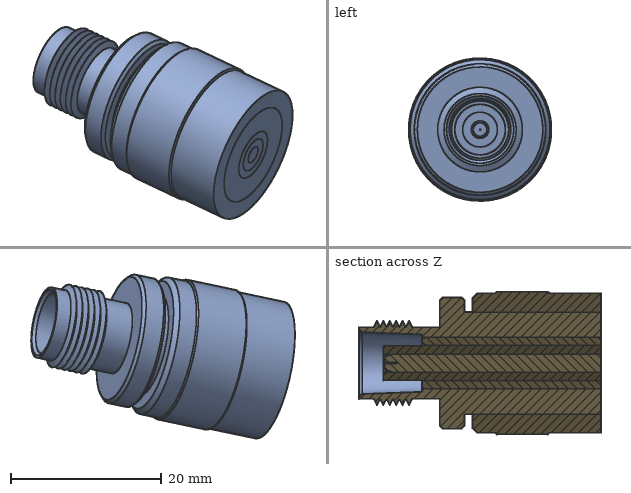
import cadquery as cq

LENGTH = 32.25

TUBE_R = 4.8
THREAD_START = 1.97
THREAD_LENGTH = 5.13
THREAD_RIDGES = 6
THREAD_CREST_R = 5.65
FLANGE_START = 10.75
FLANGE_END = 14.1
FLANGE_R = 8.77
FLANGE_CHAMFER = 0.42
NECK_R = 6.85

MOUTH_R = 4.5
MOUTH_DEPTH = 0.42
BORE_FRONT_R = 4.1
BORE_FLOOR_R = 3.8
BORE_DEPTH = 8.4

BUSHING_R = 3.4
BUSHING_CLEARANCE = 0.03
BUSHING_CLEARANCE_DEPTH = 0.32

INSULATOR_R = 2.32
INSULATOR_START = 3.23

CONTACT_R = 1.15
CONTACT_TIP_R = 0.9
CONTACT_TIP_RECESS = 0.15
CONTACT_TAPER_LENGTH = 0.97
PINHOLE_R = 0.05
PINHOLE_DEPTH = 1.6

NUT_START = 15.13
NUT_R = 9.32
NUT_CHAMFER = 0.65
BAND_START = 18.15
BAND_END = 25.4
BAND_R = 19.05 / 2
BAND_CHAMFER = BAND_R - NUT_R


def turned(outline):
    """Solid of revolution about X from a closed outline of (x, radius) points."""
    return cq.Workplane("XY").polyline(outline).close().revolve(360, (0, 0, 0), (1, 0, 0))


def thread_outline():
    """Sharp ridges standing on the tube, root to root."""
    pitch = THREAD_LENGTH / THREAD_RIDGES
    points = [(THREAD_START, TUBE_R)]
    for ridge in range(THREAD_RIDGES):
        root = THREAD_START + ridge * pitch
        points.append((root + pitch / 2, THREAD_CREST_R))
        points.append((root + pitch, TUBE_R))
    return points


def make_shell():
    flange_edge_r = FLANGE_R - FLANGE_CHAMFER
    front = [(0, MOUTH_R), (0, TUBE_R)]
    flange = [
        (FLANGE_START, TUBE_R),
        (FLANGE_START, flange_edge_r),
        (FLANGE_START + FLANGE_CHAMFER, FLANGE_R),
        (FLANGE_END - FLANGE_CHAMFER, FLANGE_R),
        (FLANGE_END, flange_edge_r),
    ]
    neck = [(FLANGE_END, NECK_R), (LENGTH, NECK_R)]
    bore = [
        (LENGTH, BUSHING_R),
        (BORE_DEPTH, BUSHING_R),
        (BORE_DEPTH, BORE_FLOOR_R),
        (MOUTH_DEPTH, BORE_FRONT_R),
    ]
    return turned(front + thread_outline() + flange + neck + bore)


def make_bushing():
    front_r = BUSHING_R - BUSHING_CLEARANCE
    shoulder = BORE_DEPTH + BUSHING_CLEARANCE_DEPTH
    return turned(
        [
            (BORE_DEPTH, INSULATOR_R),
            (BORE_DEPTH, front_r),
            (shoulder, front_r),
            (shoulder, BUSHING_R),
            (LENGTH, BUSHING_R),
            (LENGTH, INSULATOR_R),
        ]
    )


def make_insulator():
    return turned(
        [
            (INSULATOR_START, CONTACT_R),
            (INSULATOR_START, INSULATOR_R),
            (LENGTH, INSULATOR_R),
            (LENGTH, CONTACT_R),
        ]
    )


def make_contact():
    tip = INSULATOR_START + CONTACT_TIP_RECESS
    pinhole_end = tip + PINHOLE_DEPTH
    return turned(
        [
            (tip, PINHOLE_R),
            (tip, CONTACT_TIP_R),
            (tip + CONTACT_TAPER_LENGTH, CONTACT_R),
            (LENGTH, CONTACT_R),
            (LENGTH, 0),
            (pinhole_end, 0),
            (pinhole_end, PINHOLE_R),
        ]
    )


def make_nut():
    return turned(
        [
            (NUT_START, NECK_R),
            (NUT_START, NUT_R - NUT_CHAMFER),
            (NUT_START + NUT_CHAMFER, NUT_R),
            (BAND_START, NUT_R),
            (BAND_START + BAND_CHAMFER, BAND_R),
            (BAND_END - BAND_CHAMFER, BAND_R),
            (BAND_END, NUT_R),
            (LENGTH, NUT_R),
            (LENGTH, NECK_R),
        ]
    )


shell = make_shell()
bushing = make_bushing()
insulator = make_insulator()
contact = make_contact()
nut = make_nut()

result = cq.Compound.makeCompound(
    [shell.val(), bushing.val(), insulator.val(), contact.val(), nut.val()]
)